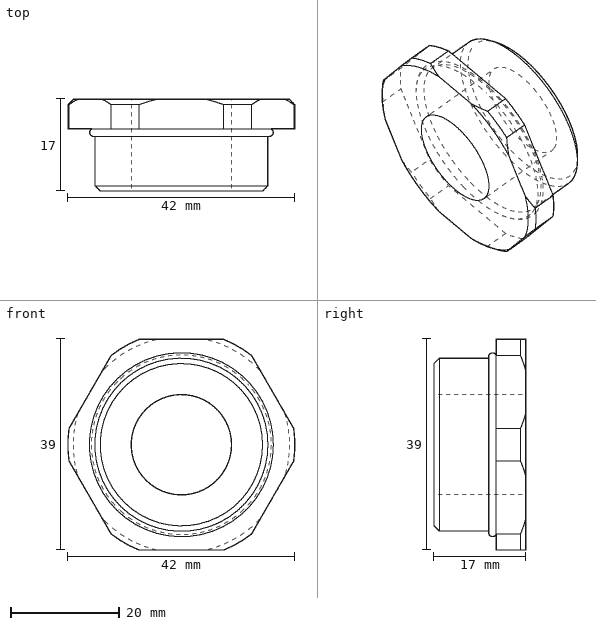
import cadquery as cq
import math

across_flats = 39.0
head_diameter = 42.0
head_thickness = 5.5
head_chamfer = 1.0
total_length = 17.0
spigot_diameter = 32.0
spigot_chamfer = 1.0
bore_diameter = 18.5
ring_outer_diameter = 34.0
ring_section_diameter = 1.5
ring_sunk_depth = 0.1

hexagon_corner_diameter = across_flats / math.cos(math.pi / 6)
spigot_length = total_length - head_thickness
ring_section_radius = ring_section_diameter / 2
ring_center_radius = ring_outer_diameter / 2 - ring_section_radius
ring_center_y = -(head_thickness - ring_sunk_depth + ring_section_radius)


def make_head():
    """Hexagon with corners on X, turned down and chamfered on its outer face at Y = 0."""
    hexagon = cq.Workplane("XZ").polygon(6, hexagon_corner_diameter).extrude(head_thickness)
    turned_blank = (
        cq.Workplane("XZ")
        .circle(head_diameter / 2)
        .extrude(head_thickness)
        .faces(">Y")
        .chamfer(head_chamfer)
    )
    return hexagon.intersect(turned_blank)


def make_spigot():
    """Cylinder in front of the head with a chamfered free end."""
    return (
        cq.Workplane("XZ", origin=(0, -head_thickness, 0))
        .circle(spigot_diameter / 2)
        .extrude(spigot_length)
        .faces("<Y")
        .chamfer(spigot_chamfer)
    )


def make_seal_ring():
    """Round-section ring seated against the head, around the spigot."""
    section_plane = cq.Plane(
        origin=(ring_center_radius, ring_center_y, 0),
        xDir=(-1, 0, 0),
        normal=(0, 0, 1),
    )
    axis_start = (ring_center_radius, 0)
    axis_end = (ring_center_radius, 1)
    return cq.Workplane(section_plane).circle(ring_section_radius).revolve(360, axis_start, axis_end)


def make_bore():
    """Through hole along the axis."""
    return cq.Workplane("XZ").circle(bore_diameter / 2).extrude(total_length)


result = make_head().union(make_spigot()).union(make_seal_ring()).cut(make_bore())